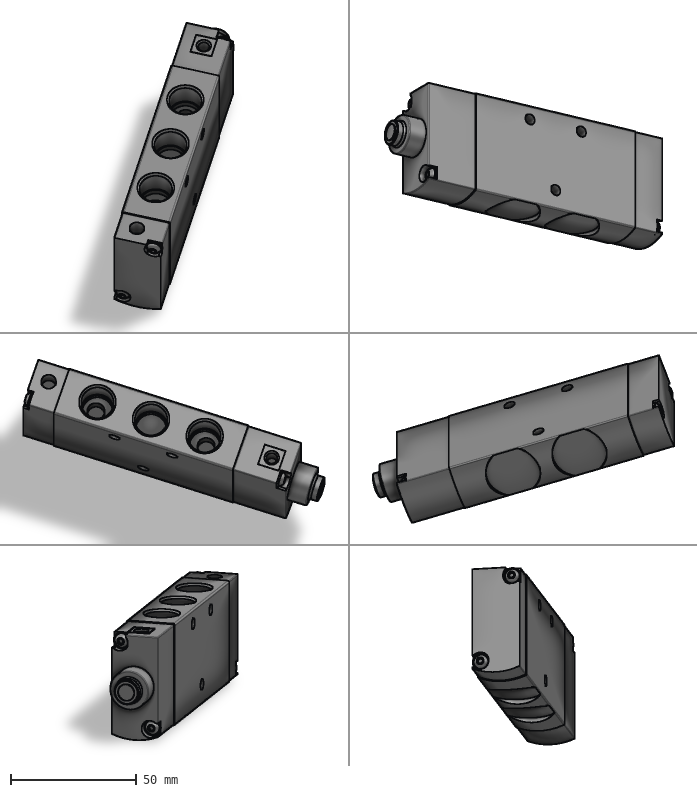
import cadquery as cq


BODY_WIDTH = 20.0
BODY_LENGTH = 75.3
BODY_HEIGHT = 43.8
BELLY_RADIUS = 25.0
BODY_EDGE_FILLET = 0.7

PORT_PITCH = 22.5
PORT_MOUTH_DIAMETER = 14.7
PORT_DIAMETER = 13.0
PORT_DEPTH = 9.8
PORT_FLOOR_DIAMETER = 12.1
PORT_FLOOR_DEPTH = 12.3
PASSAGE_DIAMETER = 7.0
PASSAGE_DEPTH = 4.9
PASSAGE_OFFSET = 0.6

SPOT_FACE_DIAMETER = 21.8
SPOT_FACE_Y = 14.0
SPOT_FACE_DEPTH = 2.0

MOUNTING_DIAMETER = 4.4
UPPER_MOUNTING_Y = 12.1
UPPER_MOUNTING_Z = 15.9
LOWER_MOUNTING_Z = -11.9

CAP_EDGE_FILLET = 0.4
CAP_INSET = 0.31
FRONT_CAP_LENGTH = 13.0
REAR_CAP_LENGTH = 22.3

SCREW_X = 6.4
UPPER_SCREW_Z = 18.3
LOWER_SCREW_Z = -16.5
RECESS_DIAMETER = 7.0
RECESS_OPENING = 5.1
FRONT_RECESS_DEPTH = 2.5
REAR_RECESS_DEPTH = 4.0
WASHER_DIAMETER = 6.7
WASHER_THICKNESS = 0.7
HEAD_DIAMETER = 5.9
HEAD_TOP_DIAMETER = 3.0
HEAD_HEIGHT = 1.7
DOME_RADIUS = 2.5
SOCKET_DIAMETER = 2.1
SOCKET_DEPTH = 1.0

VENT_DIAMETER = 5.9
VENT_X = -2.1
VENT_FROM_BODY = 6.1
VENT_DEPTH = 7.4

PILOT_FROM_BODY = 13.1
PILOT_PAD_SIDE = 8.7
PILOT_PAD_DEPTH = 0.2
PILOT_MOUTH_DIAMETER = 5.9
PILOT_DIAMETER = 4.4
PILOT_DEPTH = 7.4

CONNECTOR_Z = 0.9
COLLAR_DIAMETER = 15.9
COLLAR_LENGTH = 7.8
COLLAR_FILLET = 0.4
NECK_BASE_DIAMETER = 11.0
NECK_DIAMETER = 10.0
NECK_FLARE_LENGTH = 1.1
NECK_LENGTH = 3.8
NECK_CHAMFER = 0.4
TIP_DIAMETER = 6.7
TIP_LENGTH = 0.4

BODY_FRONT_Y = -BODY_LENGTH / 2
BODY_REAR_Y = BODY_LENGTH / 2
BODY_TOP_Z = BODY_HEIGHT / 2
CAP_FRONT_Y = BODY_FRONT_Y - FRONT_CAP_LENGTH
CAP_REAR_Y = BODY_REAR_Y + REAR_CAP_LENGTH
CAP_TOP_Z = BODY_TOP_Z - CAP_INSET


def valve_bar(front_y, length, inset, edge_fillet):
    """Bar along +Y with a flat top, a convex underside and rounded long edges."""
    half_width = BODY_WIDTH / 2 - inset
    top_z = BODY_TOP_Z - inset
    belly_radius = BELLY_RADIUS - inset
    belly_sag = belly_radius - (belly_radius**2 - half_width**2) ** 0.5
    side_z = -top_z + belly_sag
    return (
        cq.Workplane("XZ", origin=(0, front_y, 0))
        .moveTo(-half_width, top_z)
        .lineTo(half_width, top_z)
        .lineTo(half_width, side_z)
        .threePointArc((0, -top_z), (-half_width, side_z))
        .close()
        .extrude(-length)
        .edges("|Y")
        .fillet(edge_fillet)
    )


def drill_down(x, y, top_z, diameter, depth):
    """Cylinder that reaches down from the given top point."""
    return cq.Workplane("XY", origin=(x, y, top_z)).circle(diameter / 2).extrude(-depth)


def bevelled_bore(y, top_z, mouth_diameter, diameter, depth):
    """Cylinder reaching down, with a 45 degree bevel at its mouth."""
    bevel = (mouth_diameter - diameter) / 2
    return (
        cq.Workplane("XZ", origin=(0, y, top_z))
        .lineTo(mouth_diameter / 2, 0)
        .lineTo(diameter / 2, -bevel)
        .lineTo(diameter / 2, -depth)
        .lineTo(0, -depth)
        .close()
        .revolve(360, (0, 0, 0), (0, 1, 0))
    )


def make_valve_body():
    body = valve_bar(BODY_FRONT_Y, BODY_LENGTH, 0, BODY_EDGE_FILLET)
    for side in (-1, 0, 1):
        port_y = side * PORT_PITCH
        body = body.cut(bevelled_bore(port_y, BODY_TOP_Z, PORT_MOUTH_DIAMETER, PORT_DIAMETER, PORT_DEPTH))
        body = body.cut(drill_down(0, port_y, BODY_TOP_Z, PORT_FLOOR_DIAMETER, PORT_FLOOR_DEPTH))
    for side in (-1, 1):
        passage_y = side * (PORT_PITCH + PASSAGE_OFFSET)
        port_floor_z = BODY_TOP_Z - PORT_FLOOR_DEPTH
        body = body.cut(drill_down(0, passage_y, port_floor_z, PASSAGE_DIAMETER, PASSAGE_DEPTH))
        spot_face_z = -BODY_TOP_Z + SPOT_FACE_DEPTH
        body = body.cut(drill_down(0, side * SPOT_FACE_Y, spot_face_z, SPOT_FACE_DIAMETER, SPOT_FACE_DEPTH))
    mounting_points = [
        (-UPPER_MOUNTING_Y, UPPER_MOUNTING_Z),
        (UPPER_MOUNTING_Y, UPPER_MOUNTING_Z),
        (0, LOWER_MOUNTING_Z),
    ]
    mounting_holes = (
        cq.Workplane("YZ")
        .pushPoints(mounting_points)
        .circle(MOUNTING_DIAMETER / 2)
        .extrude(BODY_WIDTH, both=True)
    )
    return body.cut(mounting_holes)


def screw_head():
    """Domed head on a washer, standing up from Z = 0, with a round socket."""
    head_top_z = WASHER_THICKNESS + HEAD_HEIGHT
    return (
        cq.Workplane("XZ")
        .lineTo(WASHER_DIAMETER / 2, 0)
        .lineTo(WASHER_DIAMETER / 2, WASHER_THICKNESS)
        .lineTo(HEAD_DIAMETER / 2, WASHER_THICKNESS)
        .radiusArc((HEAD_TOP_DIAMETER / 2, head_top_z), -DOME_RADIUS)
        .lineTo(SOCKET_DIAMETER / 2, head_top_z)
        .lineTo(SOCKET_DIAMETER / 2, head_top_z - SOCKET_DEPTH)
        .lineTo(0, head_top_z - SOCKET_DEPTH)
        .close()
        .revolve(360, (0, 0, 0), (0, 1, 0))
    )


def screw_recess(floor, depth, opening_corners):
    """Round pocket joined to a rectangular gap between two corners, placed from the pocket centre."""
    pocket = floor.circle(RECESS_DIAMETER / 2).extrude(depth)
    (near_x, near_z), (far_x, far_z) = opening_corners
    gap = (
        floor.center((near_x + far_x) / 2, (near_z + far_z) / 2)
        .rect(abs(far_x - near_x), abs(far_z - near_z))
        .extrude(depth)
    )
    return pocket.union(gap)


def add_screws(cap, end_y, outward, recess_depth):
    """Sink two screw heads into the end face; outward is -1 for the front end, 1 for the rear."""
    floor_y = end_y - outward * recess_depth
    half_gap = RECESS_OPENING / 2
    upper_opening = ((-half_gap, -half_gap), (RECESS_DIAMETER, RECESS_DIAMETER))
    lower_opening = ((0, -half_gap), (-RECESS_DIAMETER, half_gap))
    screws = (
        (SCREW_X, UPPER_SCREW_Z, upper_opening),
        (-SCREW_X, LOWER_SCREW_Z, lower_opening),
    )
    for x, z, opening in screws:
        floor = cq.Workplane("XZ", origin=(x, floor_y, z))
        recess = screw_recess(floor, -outward * recess_depth, opening)
        head = screw_head().rotate((0, 0, 0), (1, 0, 0), -90 * outward).translate((x, floor_y, z))
        cap = cap.cut(recess).union(head)
    return cap


def make_front_cap():
    cap = valve_bar(CAP_FRONT_Y, FRONT_CAP_LENGTH, CAP_INSET, CAP_EDGE_FILLET)
    cap = cap.faces(">Y").edges().fillet(CAP_EDGE_FILLET)
    cap = cap.cut(drill_down(VENT_X, BODY_FRONT_Y - VENT_FROM_BODY, CAP_TOP_Z, VENT_DIAMETER, VENT_DEPTH))
    return add_screws(cap, CAP_FRONT_Y, -1, FRONT_RECESS_DEPTH)


def make_rear_cap():
    cap = valve_bar(BODY_REAR_Y, REAR_CAP_LENGTH, CAP_INSET, CAP_EDGE_FILLET)
    cap = cap.faces("<Y or >Y").edges().fillet(CAP_EDGE_FILLET)
    pilot_y = BODY_REAR_Y + PILOT_FROM_BODY
    pad = cq.Workplane("XY", origin=(0, pilot_y, CAP_TOP_Z)).rect(PILOT_PAD_SIDE, PILOT_PAD_SIDE)
    cap = cap.cut(pad.extrude(-PILOT_PAD_DEPTH))
    pad_z = CAP_TOP_Z - PILOT_PAD_DEPTH
    cap = cap.cut(bevelled_bore(pilot_y, pad_z, PILOT_MOUTH_DIAMETER, PILOT_DIAMETER, PILOT_DEPTH))
    return add_screws(cap, CAP_REAR_Y, 1, REAR_RECESS_DEPTH)


def make_connector():
    neck_end = COLLAR_LENGTH + NECK_LENGTH
    return (
        cq.Workplane("XY", origin=(0, CAP_REAR_Y, CONNECTOR_Z))
        .lineTo(COLLAR_DIAMETER / 2, 0)
        .line(0, COLLAR_LENGTH - COLLAR_FILLET)
        .radiusArc((COLLAR_DIAMETER / 2 - COLLAR_FILLET, COLLAR_LENGTH), -COLLAR_FILLET)
        .lineTo(NECK_BASE_DIAMETER / 2, COLLAR_LENGTH)
        .lineTo(NECK_DIAMETER / 2, COLLAR_LENGTH + NECK_FLARE_LENGTH)
        .lineTo(NECK_DIAMETER / 2, neck_end - NECK_CHAMFER)
        .lineTo(NECK_DIAMETER / 2 - NECK_CHAMFER, neck_end)
        .lineTo(TIP_DIAMETER / 2, neck_end)
        .line(0, TIP_LENGTH)
        .lineTo(0, neck_end + TIP_LENGTH)
        .close()
        .revolve(360, (0, 0, 0), (0, 1, 0))
    )


valve_body = make_valve_body()
front_cap = make_front_cap()
rear_cap = make_rear_cap()
connector = make_connector()

result = cq.Compound.makeCompound([
    valve_body.val(),
    front_cap.val(),
    rear_cap.val(),
    connector.val(),
])